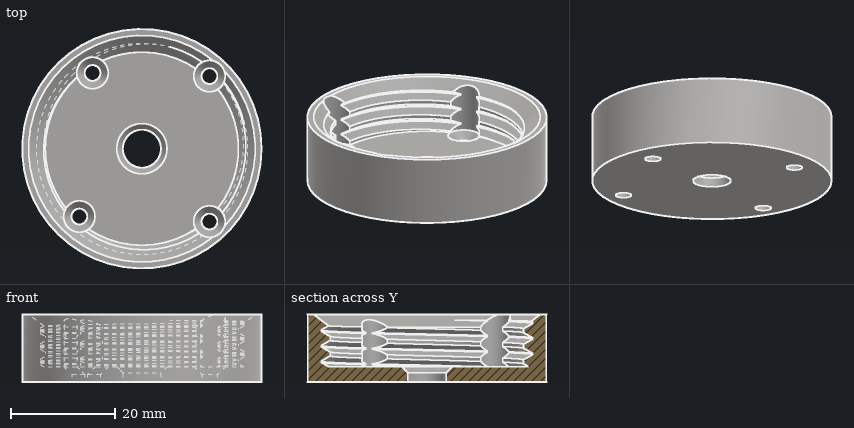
import cadquery as cq
import math

outer_radius = 23.0
height = 13.0
floor_thickness = 3.0
cavity_depth = height - floor_thickness

crest_radius = 18.55
thread_depth = 1.75
pitch = 3.0
crest_width = 0.8
flank_angle = 30.0
thread_start_angle = 45.0
crest_center_height = 1.3
bore_seam_angle = 160.0
mouth_radius = 21.75
mouth_depth = 2.45

center_hole_diameter = 7.25
center_sink_diameter = 9.65

screw_hole_diameter = 3.0
screw_head_diameter = 6.03
screw_positions = [(12.95, 13.95), (-9.48, 14.55), (-12.0, -13.0), (12.95, -14.0)]


def cylinder(radius, bottom, length):
    return cq.Workplane("XY").workplane(offset=bottom).circle(radius).extrude(length)


def cone(bottom_radius, top_radius, bottom, length):
    return cq.Workplane(cq.Solid.makeCone(bottom_radius, top_radius, length, pnt=cq.Vector(0, 0, bottom)))


def countersunk_hole(hole_diameter, sink_diameter):
    """Through hole in the floor with a 45 degree countersink on its top face."""
    sink_depth = (sink_diameter - hole_diameter) / 2
    hole = cylinder(hole_diameter / 2, 0, floor_thickness)
    sink = cone(hole_diameter / 2, sink_diameter / 2, floor_thickness - sink_depth, sink_depth)
    return hole.union(sink)


def thread_groove():
    """Helical trapezoid groove, running past both the floor and the rim."""
    overlap = 0.15
    slope = math.tan(math.radians(flank_angle))
    mouth_half_width = (pitch - crest_width) / 2 + overlap * slope
    root_half_width = mouth_half_width - (thread_depth + overlap) * slope
    inner_radius = crest_radius - overlap
    root_radius = crest_radius + thread_depth
    start_height = floor_thickness + crest_center_height - 1.5 * pitch
    turns = math.ceil(cavity_depth / pitch) + 2
    path = cq.Workplane(cq.Wire.makeHelix(pitch, turns * pitch, crest_radius))
    return (
        cq.Workplane("XZ")
        .polyline([
            (inner_radius, -mouth_half_width),
            (root_radius, -root_half_width),
            (root_radius, root_half_width),
            (inner_radius, mouth_half_width),
        ])
        .close()
        .sweep(path, isFrenet=True)
        .rotate((0, 0, 0), (0, 0, 1), thread_start_angle)
        .translate((0, 0, start_height))
    )


def threaded_wall():
    """Ring above the floor with the thread and the lead-in cone cut into it."""
    wall = cylinder(outer_radius, floor_thickness, cavity_depth)
    bore = cylinder(crest_radius, floor_thickness, cavity_depth)
    lead_in = cone(crest_radius, mouth_radius, height - mouth_depth, mouth_depth)
    cavity = bore.union(lead_in).rotate((0, 0, 0), (0, 0, 1), bore_seam_angle)
    return wall.cut(cavity).cut(thread_groove())


body = cylinder(outer_radius, 0, floor_thickness).union(threaded_wall())
body = body.cut(countersunk_hole(center_hole_diameter, center_sink_diameter))

screw_cutter = countersunk_hole(screw_hole_diameter, screw_head_diameter).union(
    cylinder(screw_head_diameter / 2, floor_thickness, cavity_depth)
)
for x, y in screw_positions:
    body = body.cut(screw_cutter.translate((x, y, 0)))

result = body